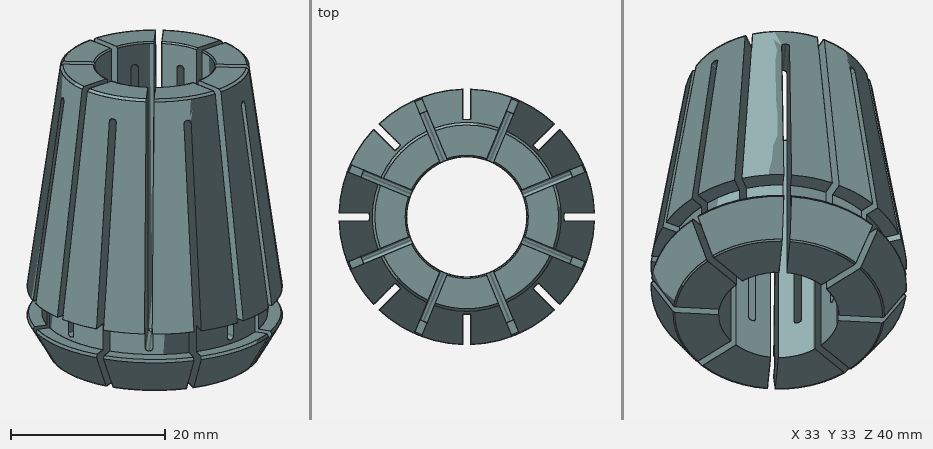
import cadquery as cq
import math

length = 40.0
outer_radius = 16.5
bore_radius = 15.5 / 2

nose_angle = 30.0
body_angle = 8.0
rim_z = 5.1
flange_top_z = 5.5
flange_top_radius = 16.3
neck_radius = 14.6
body_bottom_z = 9.1
bottom_chamfer = 0.15
top_chamfer = 0.3
bore_chamfer = 0.2

slot_width = 1.0
slot_corner_radius = 0.45
slots_per_end = 8
slot_pitch = 360.0 / slots_per_end
bottom_slot_end_z = 37.0
top_slot_end_z = 6.0

nose_radius = outer_radius - rim_z * math.tan(math.radians(nose_angle))
top_radius = outer_radius - (length - body_bottom_z) * math.tan(math.radians(body_angle))


def make_body():
    """Revolved collet blank with a straight bore."""
    nose_chamfer_radius = nose_radius + bottom_chamfer * math.tan(math.radians(nose_angle))
    body_chamfer_radius = top_radius + top_chamfer * math.tan(math.radians(body_angle))
    profile = [
        (bore_radius, 0),
        (nose_radius - bottom_chamfer, 0),
        (nose_chamfer_radius, bottom_chamfer),
        (outer_radius, rim_z),
        (flange_top_radius, flange_top_z),
        (neck_radius, flange_top_z),
        (neck_radius, body_bottom_z),
        (outer_radius, body_bottom_z),
        (body_chamfer_radius, length - top_chamfer),
        (top_radius - top_chamfer, length),
        (bore_radius + bore_chamfer, length),
        (bore_radius, length - bore_chamfer),
    ]
    return cq.Workplane("XZ").polyline(profile).close().revolve(360, (0, 0, 0), (0, 1, 0))


def make_slot(open_z, end_z, angle):
    """Cutter running out from the axis, open at open_z and with rounded corners at end_z."""
    mouth_z = open_z + math.copysign(slot_width, open_z - end_z)
    slot_length = abs(end_z - mouth_z)
    end_face = ">Z" if end_z > open_z else "<Z"
    return (
        cq.Workplane("YZ")
        .center(0, (mouth_z + end_z) / 2)
        .rect(slot_width, slot_length)
        .extrude(outer_radius + slot_width)
        .faces(end_face)
        .edges("|X")
        .fillet(slot_corner_radius)
        .rotate((0, 0, 0), (0, 0, 1), angle)
    )


result = make_body()
for index in range(slots_per_end):
    bottom_angle = index * slot_pitch
    top_angle = bottom_angle + slot_pitch / 2
    result = result.cut(make_slot(0, bottom_slot_end_z, bottom_angle))
    result = result.cut(make_slot(length, top_slot_end_z, top_angle))